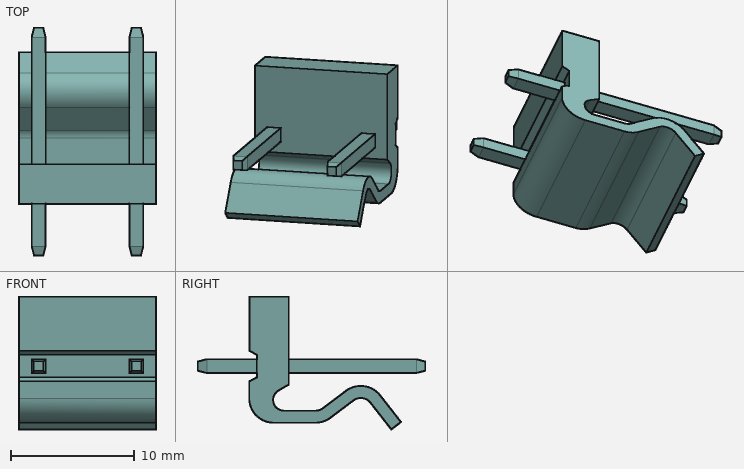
import cadquery as cq
import math


housing_width = 11.13
wall_thickness = 3.23
top_z = 5.63
back_wall_bottom_z = -1.5
upper_front_y = 0.028

groove_depth = 0.63
groove_floor_half_height = 0.9
groove_mouth_half_height = 1.24

arm_thickness = 1.0
arm_bottom_z = -4.6
arm_top_z = arm_bottom_z + arm_thickness
hook_inner_radius = 0.87
hook_outer_radius = 2.0
hook_slope = math.radians(30)
bend_inner_radius = 1.0
bend_outer_radius = bend_inner_radius + arm_thickness
rise_angle = math.radians(37)
fall_angle = math.radians(52)
bend_y = 5.72
crest_y = 9.41
arm_tip_y = 12.3

pin_size = 1.15
pin_tip_size = 0.75
pin_taper_length = 0.75
pin_length = 18.45
pin_front_y = -4.17
pin_pitch = 7.92


def on_circle(center, radius, angle):
    """Point (y, z) on a circle at an angle measured from +Y towards +Z."""
    return (center[0] + radius * math.cos(angle), center[1] + radius * math.sin(angle))


def round_corner(body, corner, radius):
    """Round the edge that runs along X through the point (y, z)."""
    edge = cq.selectors.NearestToPointSelector((0, *corner))
    return body.edges("|X").edges(edge).fillet(radius)


def make_housing():
    slope_angle = math.pi / 2 + hook_slope
    hook_center_z = arm_top_z + hook_inner_radius
    hook_start_z = hook_center_z + hook_inner_radius * math.sin(slope_angle)
    hook_start_y = wall_thickness - (back_wall_bottom_z - hook_start_z) / math.tan(hook_slope)
    hook_center = (hook_start_y - hook_inner_radius * math.cos(slope_angle), hook_center_z)
    hook_middle = on_circle(hook_center, hook_inner_radius, math.pi)

    bend_top = (bend_y, arm_top_z)
    crest_top = (crest_y, arm_top_z + (crest_y - bend_y) * math.tan(rise_angle))
    tip_top = (arm_tip_y, crest_top[1] - (arm_tip_y - crest_y) * math.tan(fall_angle))

    bend_shift = arm_thickness * math.tan(rise_angle / 2)
    bend_bottom = (bend_y + bend_shift, arm_bottom_z)
    half_turn = (rise_angle + fall_angle) / 2
    crest_shift = arm_thickness / math.cos(half_turn)
    crest_bottom = on_circle(crest_top, crest_shift, -math.pi / 2 + (rise_angle - fall_angle) / 2)
    tip_bottom = on_circle(tip_top, arm_thickness, -math.pi / 2 - fall_angle)

    outline = (
        cq.Workplane("YZ", origin=(-housing_width / 2, 0, 0))
        .moveTo(upper_front_y, top_z)
        .lineTo(wall_thickness, top_z)
        .lineTo(wall_thickness, back_wall_bottom_z)
        .lineTo(hook_start_y, hook_start_z)
        .threePointArc(hook_middle, (hook_center[0], arm_top_z))
        .lineTo(*bend_top)
        .lineTo(*crest_top)
        .lineTo(*tip_top)
        .lineTo(*tip_bottom)
        .lineTo(*crest_bottom)
        .lineTo(*bend_bottom)
        .lineTo(0, arm_bottom_z)
        .lineTo(0, -groove_mouth_half_height)
        .lineTo(groove_depth, -groove_floor_half_height)
        .lineTo(groove_depth, groove_floor_half_height)
        .lineTo(upper_front_y, groove_mouth_half_height)
        .close()
    )
    body = outline.extrude(housing_width)
    body = round_corner(body, (0, arm_bottom_z), hook_outer_radius)
    body = round_corner(body, bend_top, bend_inner_radius)
    body = round_corner(body, bend_bottom, bend_outer_radius)
    body = round_corner(body, crest_top, bend_outer_radius)
    return round_corner(body, crest_bottom, bend_inner_radius)


def make_taper(start_y, end_y):
    """Pin end that narrows from the full pin size to the tip size."""
    return (
        cq.Workplane("XZ", origin=(0, start_y, 0))
        .rect(pin_size, pin_size)
        .workplane(offset=start_y - end_y)
        .rect(pin_tip_size, pin_tip_size)
        .loft(ruled=True)
    )


def make_pin(x):
    back_y = pin_front_y + pin_length
    shaft_front_y = pin_front_y + pin_taper_length
    shaft_back_y = back_y - pin_taper_length
    shaft = cq.Workplane("XZ", origin=(0, shaft_front_y, 0)).rect(pin_size, pin_size)
    pin = shaft.extrude(shaft_front_y - shaft_back_y)
    pin = pin.union(make_taper(shaft_front_y, pin_front_y))
    pin = pin.union(make_taper(shaft_back_y, back_y))
    return pin.translate((x, 0, 0))


pins = []
housing = make_housing()
for side in (-1, 1):
    pin = make_pin(side * pin_pitch / 2)
    housing = housing.cut(pin)
    pins.append(pin.val())

result = cq.Compound.makeCompound([housing.val(), *pins])